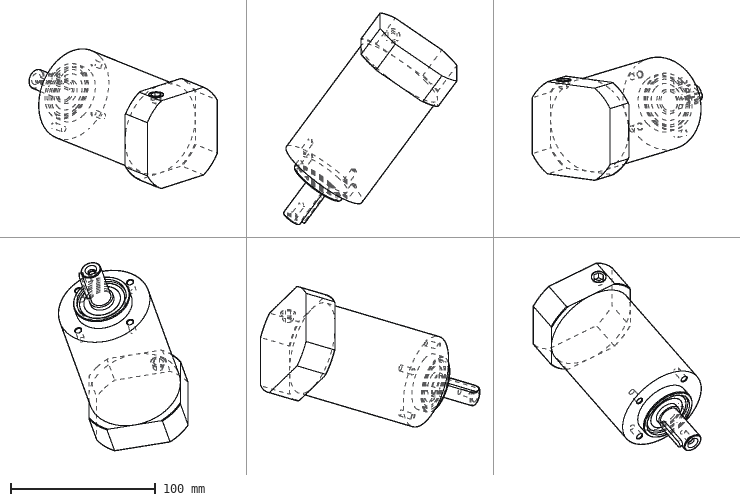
import cadquery as cq
import math

TOTAL_LENGTH = 151.5
SHAFT_TIP = -TOTAL_LENGTH / 2
COLLAR_FACE = SHAFT_TIP + 30.0
PILOT_FACE = SHAFT_TIP + 31.0
BODY_FACE = SHAFT_TIP + 39.0
ADAPTER_FACE = SHAFT_TIP + 128.5
REAR_FACE = SHAFT_TIP + TOTAL_LENGTH

SHAFT_DIAMETER = 14.0
COLLAR_DIAMETER = 17.0
PILOT_DIAMETER = 40.0
BODY_DIAMETER = 65.0
SHAFT_CHAMFER = 0.5
PILOT_CHAMFER_LENGTH = 0.75
PILOT_CHAMFER_DEPTH = 0.4

RECESS_DIAMETER = 35.0
RECESS_DEPTH = 2.1
SEAL_OUTER_DIAMETER = 32.0
SEAL_INNER_DIAMETER = 26.0
SEAL_GROOVE_DEPTH = 0.2

ADAPTER_WIDTH = 65.0
ADAPTER_CORNER_DIAMETER = 76.0
ADAPTER_CHAMFER = 0.5

MOUNT_CIRCLE_DIAMETER = 52.0
MOUNT_COUNT = 4
MOUNT_START_ANGLE = 45.0
MOUNT_HOLE_DIAMETER = 4.2
MOUNT_MOUTH_DIAMETER = 5.0
MOUNT_HOLE_DEPTH = 10.0
DRILL_POINT_ANGLE = 118.0

CENTRE_MOUTH_DIAMETER = 8.1
CENTRE_RELIEF_DIAMETER = 5.3
CENTRE_CONE_ANGLE = 60.0
CENTRE_RELIEF_DEPTH = 4.0
CENTRE_THREAD_DIAMETER = 4.2
CENTRE_THREAD_DEPTH = 12.5

KEY_WIDTH = 5.0
KEY_HEIGHT = 5.0
KEY_LENGTH = 25.0
KEY_SETBACK = 2.5
KEY_SEAT_DEPTH = 3.0

PLUG_X = (ADAPTER_FACE + REAR_FACE) / 2
PLUG_Y = -14.0
PLUG_DIAMETER = 10.3
PLUG_GROOVE_WIDTH = 0.15
PLUG_GROOVE_DEPTH = 0.3
SOCKET_ACROSS_FLATS = 6.35
SOCKET_DEPTH = 5.0
HEXAGON_SIDES = 6


def cylinder_x(diameter, start, end):
    """Cylinder on the X axis between two stations."""
    return cq.Workplane("YZ", origin=(start, 0, 0)).circle(diameter / 2).extrude(end - start)


def cone_height(diameter, included_angle):
    """Height of a full cone with the given base diameter."""
    return diameter / 2 / math.tan(math.radians(included_angle / 2))


def drill(diameter, depth, origin, direction):
    """Round cutter with a conical point, starting at origin."""
    start = cq.Vector(*origin)
    axis = cq.Vector(*direction)
    point = cone_height(diameter, DRILL_POINT_ANGLE)
    bore = cq.Solid.makeCylinder(diameter / 2, depth, start, axis)
    tip = cq.Solid.makeCone(diameter / 2, 0, point, start + axis * depth, axis)
    return cq.Workplane(bore).union(cq.Workplane(tip))


def make_shaft():
    shaft = cylinder_x(SHAFT_DIAMETER, SHAFT_TIP, BODY_FACE)
    shaft = shaft.faces("<X").chamfer(SHAFT_CHAMFER)
    return shaft.union(cylinder_x(COLLAR_DIAMETER, COLLAR_FACE, BODY_FACE))


def make_key():
    seat = SHAFT_DIAMETER / 2 - KEY_SEAT_DEPTH
    centre_x = SHAFT_TIP + KEY_SETBACK + KEY_LENGTH / 2
    plane = cq.Plane(origin=(centre_x, seat, 0), xDir=(1, 0, 0), normal=(0, 1, 0))
    return cq.Workplane(plane).slot2D(KEY_LENGTH, KEY_WIDTH).extrude(KEY_HEIGHT)


def make_pilot():
    pilot = cylinder_x(PILOT_DIAMETER, PILOT_FACE, BODY_FACE)
    pilot = pilot.faces("<X").chamfer(PILOT_CHAMFER_LENGTH, PILOT_CHAMFER_DEPTH)
    recess_floor = PILOT_FACE + RECESS_DEPTH
    groove_floor = recess_floor + SEAL_GROOVE_DEPTH
    groove = cylinder_x(SEAL_OUTER_DIAMETER, recess_floor, groove_floor)
    groove = groove.cut(cylinder_x(SEAL_INNER_DIAMETER, recess_floor, groove_floor))
    recess = cylinder_x(RECESS_DIAMETER, PILOT_FACE, recess_floor)
    return pilot.cut(recess).cut(groove)


def make_adapter():
    """Square block whose corners are turned round and chamfered at the front."""
    length = REAR_FACE - ADAPTER_FACE
    block = cq.Workplane("YZ", origin=(ADAPTER_FACE, 0, 0)).rect(ADAPTER_WIDTH, ADAPTER_WIDTH).extrude(length)
    turned = cylinder_x(ADAPTER_CORNER_DIAMETER, ADAPTER_FACE, REAR_FACE)
    turned = turned.faces("<X").chamfer(ADAPTER_CHAMFER)
    return block.intersect(turned)


def centre_hole():
    """Conical mouth, then a relief bore, then the drilled thread core."""
    taper_length = cone_height(CENTRE_MOUTH_DIAMETER - CENTRE_RELIEF_DIAMETER, CENTRE_CONE_ANGLE)
    mouth = cq.Solid.makeCone(
        CENTRE_MOUTH_DIAMETER / 2,
        CENTRE_RELIEF_DIAMETER / 2,
        taper_length,
        cq.Vector(SHAFT_TIP, 0, 0),
        cq.Vector(1, 0, 0),
    )
    relief = cylinder_x(CENTRE_RELIEF_DIAMETER, SHAFT_TIP, SHAFT_TIP + CENTRE_RELIEF_DEPTH)
    thread = drill(CENTRE_THREAD_DIAMETER, CENTRE_THREAD_DEPTH, (SHAFT_TIP, 0, 0), (1, 0, 0))
    return relief.union(cq.Workplane(mouth)).union(thread)


def mount_hole(angle):
    """Threaded hole with a 90 degree countersunk mouth."""
    radius = MOUNT_CIRCLE_DIAMETER / 2
    origin = (BODY_FACE, radius * math.cos(angle), radius * math.sin(angle))
    mouth_depth = (MOUNT_MOUTH_DIAMETER - MOUNT_HOLE_DIAMETER) / 2
    mouth = cq.Solid.makeCone(
        MOUNT_MOUTH_DIAMETER / 2,
        MOUNT_HOLE_DIAMETER / 2,
        mouth_depth,
        cq.Vector(*origin),
        cq.Vector(1, 0, 0),
    )
    return drill(MOUNT_HOLE_DIAMETER, MOUNT_HOLE_DEPTH, origin, (1, 0, 0)).union(cq.Workplane(mouth))


def plug_cutter():
    """Fine ring groove around the plug, with a hexagon socket that ends in a cone."""
    top = (PLUG_X, PLUG_Y, ADAPTER_WIDTH / 2)
    face = cq.Workplane("XY", origin=top)
    outer_radius = PLUG_DIAMETER / 2
    groove = face.circle(outer_radius).circle(outer_radius - PLUG_GROOVE_WIDTH).extrude(-PLUG_GROOVE_DEPTH)

    across_corners = SOCKET_ACROSS_FLATS / math.cos(math.pi / HEXAGON_SIDES)
    socket_reach = SOCKET_DEPTH + cone_height(across_corners, DRILL_POINT_ANGLE)
    hexagon = face.polygon(HEXAGON_SIDES, across_corners).extrude(-socket_reach)
    hexagon = hexagon.rotate(top, (PLUG_X, PLUG_Y, 0), 90)
    pointed_bore = drill(across_corners, SOCKET_DEPTH, top, (0, 0, -1))
    return groove.union(hexagon.intersect(pointed_bore))


result = cylinder_x(BODY_DIAMETER, BODY_FACE, ADAPTER_FACE)
result = result.union(make_adapter())
result = result.union(make_pilot())
result = result.union(make_shaft())
result = result.union(make_key())
result = result.cut(centre_hole())
for index in range(MOUNT_COUNT):
    result = result.cut(mount_hole(math.radians(MOUNT_START_ANGLE + index * 360 / MOUNT_COUNT)))
result = result.cut(plug_cutter())